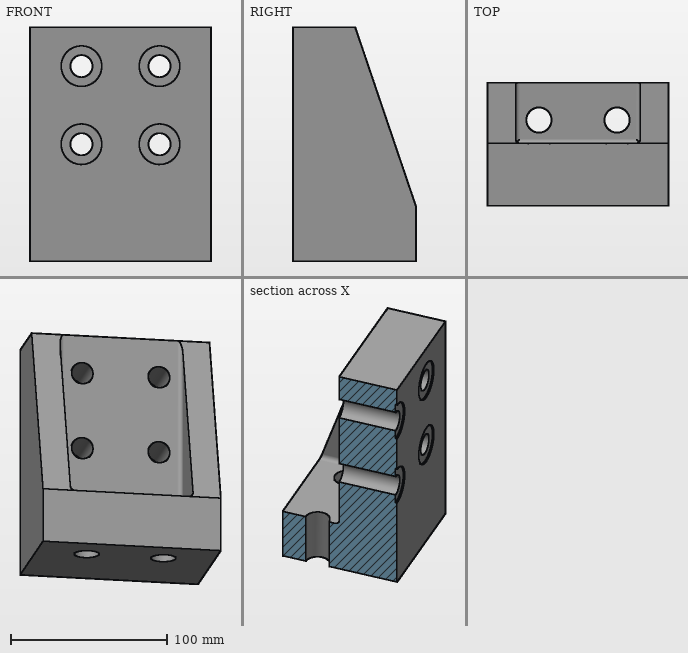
import cadquery as cq

width = 116.0
depth = 79.0
height = 150.0

plate_thickness = 40.0
floor_thickness = 35.0
rib_thickness = 18.0
heel_height = 35.0
pocket_fillet = 3.0

hole_spacing = 50.0
plate_hole_diameter = 14.0
spot_face_diameter = 26.0
spot_face_depth = 1.0
top_row_below_top = 25.0

floor_hole_diameter = 16.0
floor_hole_from_back = 24.0

pocket_width = width - 2 * rib_thickness
hole_columns = (-hole_spacing / 2, hole_spacing / 2)
top_row_z = height - top_row_below_top
hole_rows = (top_row_z - hole_spacing, top_row_z)


def make_body():
    """Side profile with the sloped back, extruded across the width."""
    profile = [
        (0, 0),
        (depth, 0),
        (depth, heel_height),
        (plate_thickness, height),
        (0, height),
    ]
    return cq.Workplane("YZ").polyline(profile).close().extrude(width / 2, both=True)


def make_pocket():
    """Space between the ribs, with rounded upright corners and floor fillets that meet in a mitre."""
    pocket_depth = 2 * (depth - plate_thickness)
    pocket_height = 2 * (height - floor_thickness)
    block = cq.Workplane("XY").box(
        pocket_width, pocket_depth, pocket_height, centered=(True, False, False)
    )
    rounded_corners = block.edges("|Z and <Y").fillet(pocket_fillet)
    rounded_floor = block.faces("<Z").edges().fillet(pocket_fillet)
    pocket = rounded_corners.intersect(rounded_floor)
    return pocket.translate((0, plate_thickness, floor_thickness))


def make_plate_hole(x, z):
    """Through hole along Y with a shallow spot face on the front."""
    front = cq.Workplane("XZ", origin=(x, 0, z))
    bore = front.circle(plate_hole_diameter / 2).extrude(-depth)
    spot_face = front.circle(spot_face_diameter / 2).extrude(-spot_face_depth)
    return bore.union(spot_face)


def make_floor_hole(x):
    """Vertical through hole in the floor."""
    floor_hole_y = depth - floor_hole_from_back
    return cq.Workplane("XY", origin=(x, floor_hole_y, 0)).circle(floor_hole_diameter / 2).extrude(height)


result = make_body().cut(make_pocket())
for column_x in hole_columns:
    result = result.cut(make_floor_hole(column_x))
    for row_z in hole_rows:
        result = result.cut(make_plate_hole(column_x, row_z))